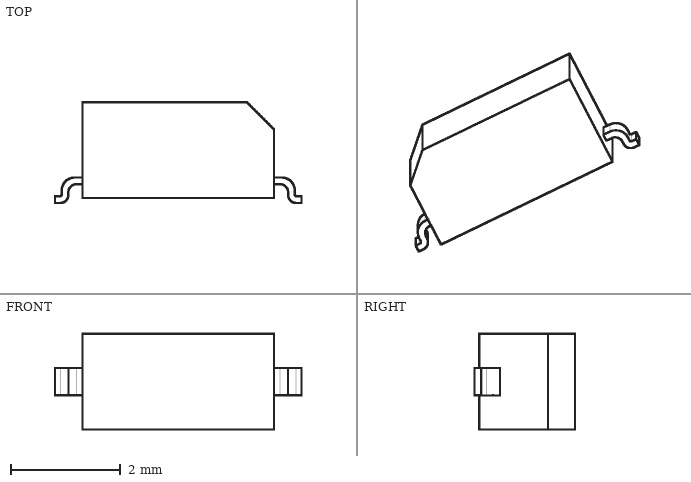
import cadquery as cq

overall_length = 4.5
body_length = 3.5
body_side = 1.75
corner_chamfer = 0.5

lead_width = 0.5
lead_thickness = 0.125
lead_rise = 0.47
foot_drop = 0.09
foot_flat = 0.1
bend_outer = 0.15
bend_inner = bend_outer - lead_thickness
shoulder_outer = 0.245

half_length = body_length / 2
tip_x = overall_length / 2
sole_y = -body_side / 2 - foot_drop
top_y = sole_y + lead_rise


def make_body():
    """Square block with one vertical corner cut off."""
    block = cq.Workplane("XY").box(body_length, body_side, body_side)
    return block.edges("|Z and >X and >Y").chamfer(corner_chamfer)


def make_right_lead():
    """S-shaped strip leaving the +X face and ending in a flat foot."""
    foot_bend_x = tip_x - foot_flat
    inner_x = foot_bend_x - bend_outer
    outer_x = inner_x + lead_thickness
    shoulder_outer_x = outer_x - shoulder_outer
    shoulder_inner_x = inner_x - bend_outer
    foot_bend_y = sole_y + bend_outer
    profile = (
        cq.Workplane("XY", origin=(0, 0, -lead_width / 2))
        .moveTo(half_length, top_y)
        .lineTo(shoulder_outer_x, top_y)
        .radiusArc((outer_x, top_y - shoulder_outer), shoulder_outer)
        .lineTo(outer_x, foot_bend_y)
        .radiusArc((foot_bend_x, sole_y + lead_thickness), -bend_inner)
        .lineTo(tip_x, sole_y + lead_thickness)
        .lineTo(tip_x, sole_y)
        .lineTo(foot_bend_x, sole_y)
        .radiusArc((inner_x, foot_bend_y), bend_outer)
        .lineTo(inner_x, top_y - lead_thickness - bend_outer)
        .radiusArc((shoulder_inner_x, top_y - lead_thickness), -bend_outer)
        .lineTo(half_length, top_y - lead_thickness)
        .close()
    )
    return profile.extrude(lead_width)


right_lead = make_right_lead()
left_lead = right_lead.mirror("YZ")
result = make_body().union(right_lead).union(left_lead)